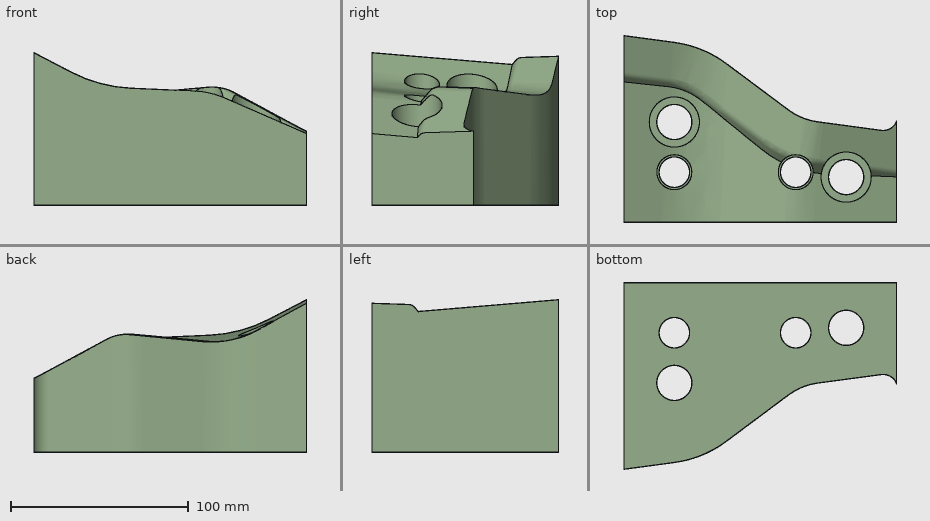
import cadquery as cq
import math

LENGTH = 153.6
DEPTH = 105.2
HEIGHT = 86.0
MARGIN = 46.0

GENTLE_FALL = 0.134
FIRST_BEND_X = 44.5
SECOND_BEND_X = 100.0
SECOND_BEND_Y = 57.9
FIRST_BEND_RADIUS = 63.0
SECOND_BEND_RADIUS = 35.0

HORN_START_X = 145.0
HORN_TIP_Y = 57.1

RAIL_WIDTH = 22.5
RAIL_WALL = 6.1
RAIL_EDGE_RADIUS = 4.6

FLOOR_BENDS = [(0.0, HEIGHT), (36.9, 66.8), (99.2, 64.0), (LENGTH, 40.4)]
FLOOR_RADII = (79.9, 46.0)
FLOOR_DIRECTION = (0.05, 1.0, -0.11)
RAIL_BENDS = [(-9.5, 85.7), (33.8, 62.4), (101.7, 67.7), (149.0, 42.4)]
RAIL_RADII = (56.8, 21.2)
RAIL_DIRECTION = (0.09, 1.0, -0.016)

BOLT_HOLES = [(28.4, 56.5), (125.2, 25.5)]
BOLT_DIAMETER = 19.7
BOLT_HEAD_DIAMETER = 28.3
DOWEL_HOLES = [(28.4, 28.3), (96.8, 28.3)]
DOWEL_DIAMETER = 17.0
DOWEL_RELIEF_DIAMETER = 19.7
SEAT_Z = 30.7


def back_line():
    """Sharp corners of the back outline, run past both ends of the block."""
    first_bend_y = DEPTH - GENTLE_FALL * FIRST_BEND_X
    return [
        (-MARGIN, DEPTH + GENTLE_FALL * MARGIN),
        (FIRST_BEND_X, first_bend_y),
        (SECOND_BEND_X, SECOND_BEND_Y),
        (LENGTH + MARGIN, gentle_end_y(LENGTH + MARGIN)),
    ]


def gentle_end_y(x):
    """Y of the second gentle run at a given X."""
    return SECOND_BEND_Y - GENTLE_FALL * (x - SECOND_BEND_X)


def moved_back_line(offset):
    """Sharp corners of the back outline after moving it forwards by offset."""
    corners = back_line()
    first, second = corners[1:3]
    gentle_angle = math.atan(GENTLE_FALL)
    steep_angle = math.atan2(first[1] - second[1], second[0] - first[0])
    bisector = (gentle_angle + steep_angle) / 2
    shift = offset / math.cos((steep_angle - gentle_angle) / 2)
    dx = -shift * math.sin(bisector)
    dy = -shift * math.cos(bisector)
    return [(x + dx, y + dy) for x, y in corners]


def behind_back_line(offset):
    """Prism behind the back outline after moving that outline forwards by offset."""
    line = moved_back_line(offset)
    height = HEIGHT + MARGIN
    far_y = DEPTH + MARGIN
    closing = [(line[-1][0], far_y), (line[0][0], far_y)]
    prism = cq.Workplane("XY").polyline(line + closing).close().extrude(height)
    radii = (FIRST_BEND_RADIUS - offset, SECOND_BEND_RADIUS + offset)
    for (x, y), radius in zip(line[1:3], radii):
        prism = prism.edges(cq.NearestToPointSelector((x, y, height / 2))).fillet(radius)
    return prism


def extended(start, end, length):
    """Point reached by carrying the line from start to end on by length along X."""
    slope = (end[1] - start[1]) / (end[0] - start[0])
    step = math.copysign(length, end[0] - start[0])
    return (end[0] + step, end[1] + slope * step)


def below_surface(bends, radii, direction):
    """Solid below a rounded bent line that is extruded along a skew direction."""
    top = [
        extended(bends[1], bends[0], MARGIN),
        bends[1],
        bends[2],
        extended(bends[2], bends[3], MARGIN),
    ]
    base_z = -MARGIN
    base = [(top[-1][0], base_z), (top[0][0], base_z)]
    face = cq.Face.makeFromWires(cq.Workplane("XZ").polyline(top + base).close().val())
    for (x, z), radius in zip(bends[1:3], radii):
        corner = min(face.Vertices(), key=lambda v: math.hypot(v.X - x, v.Z - z))
        face = face.fillet2D(radius, [corner])
    reach = cq.Vector(*direction) * (DEPTH + MARGIN)
    return cq.Workplane(cq.Solid.extrudeLinear(face.outerWire(), [], reach))


def rail_edge(offset):
    """Selector for the top edge of the rail on its steep run, at an offset from the back outline."""
    first, second = moved_back_line(offset)[1:3]
    middle_x = (first[0] + second[0]) / 2
    middle_y = (first[1] + second[1]) / 2
    return cq.NearestToPointSelector((middle_x, middle_y, RAIL_BENDS[2][1]))


def make_rail():
    """Bar under the rail surface with a sloping front wall and a rounded top edge."""
    surface = below_surface(RAIL_BENDS, RAIL_RADII, RAIL_DIRECTION)
    rail = surface.intersect(behind_back_line(RAIL_WIDTH + RAIL_WALL))
    rail = rail.edges(rail_edge(RAIL_WIDTH + RAIL_WALL)).chamfer(RAIL_WALL)
    return rail.edges(rail_edge(RAIL_WIDTH)).fillet(RAIL_EDGE_RADIUS)


def make_horn():
    """Corner piece under the concave sweep at the +X end of the back outline."""
    line_end_y = gentle_end_y(LENGTH)
    start = cq.Vector(HORN_START_X, gentle_end_y(HORN_START_X))
    tip = cq.Vector(LENGTH, HORN_TIP_Y)
    sweep = cq.Edge.makeTangentArc(start, cq.Vector(1, -GENTLE_FALL), tip)
    side = cq.Edge.makeLine(tip, cq.Vector(LENGTH, line_end_y))
    bottom = cq.Edge.makeLine(cq.Vector(LENGTH, line_end_y), start)
    outline = cq.Wire.assembleEdges([sweep, side, bottom])
    return cq.Workplane(cq.Solid.extrudeLinear(outline, [], cq.Vector(0, 0, HEIGHT)))


def make_footprint():
    """Block with its back side cut to the back outline."""
    block = cq.Workplane("XY").box(LENGTH, DEPTH, HEIGHT, centered=False)
    return block.cut(behind_back_line(0.0)).union(make_horn())


def drill(body, centers, diameter, upper_diameter):
    """Through holes that widen above the seat level."""
    for center in centers:
        narrow = cq.Workplane("XY").center(*center).circle(diameter / 2).extrude(HEIGHT)
        wide = cq.Workplane("XY", origin=(*center, SEAT_Z)).circle(upper_diameter / 2).extrude(HEIGHT)
        body = body.cut(narrow).cut(wide)
    return body


floor = below_surface(FLOOR_BENDS, FLOOR_RADII, FLOOR_DIRECTION)
footprint = make_footprint()
result = footprint.intersect(floor).union(footprint.intersect(make_rail()))
result = drill(result, BOLT_HOLES, BOLT_DIAMETER, BOLT_HEAD_DIAMETER)
result = drill(result, DOWEL_HOLES, DOWEL_DIAMETER, DOWEL_RELIEF_DIAMETER)